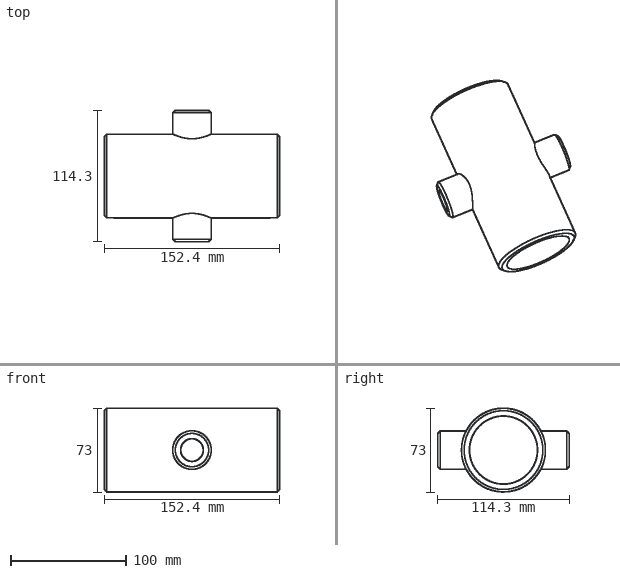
import cadquery as cq

tube_length = 152.4
tube_diameter = 73.0
tube_bore = 59.0

branch_span = 114.3
branch_diameter = 33.5
branch_bore = 19.5

end_chamfer = 2.3


def cylinder(plane, diameter, length):
    """Cylinder centred on the origin, normal to the given plane."""
    return cq.Workplane(plane).workplane(offset=-length / 2).circle(diameter / 2).extrude(length)


def chamfered_rod(plane, diameter, length):
    """Cylinder with both end edges chamfered."""
    return cylinder(plane, diameter, length).edges("%CIRCLE").chamfer(end_chamfer)


tube = chamfered_rod("YZ", tube_diameter, tube_length)
branches = chamfered_rod("XZ", branch_diameter, branch_span)

result = (
    tube.union(branches)
    .cut(cylinder("YZ", tube_bore, tube_length))
    .cut(cylinder("XZ", branch_bore, branch_span))
)